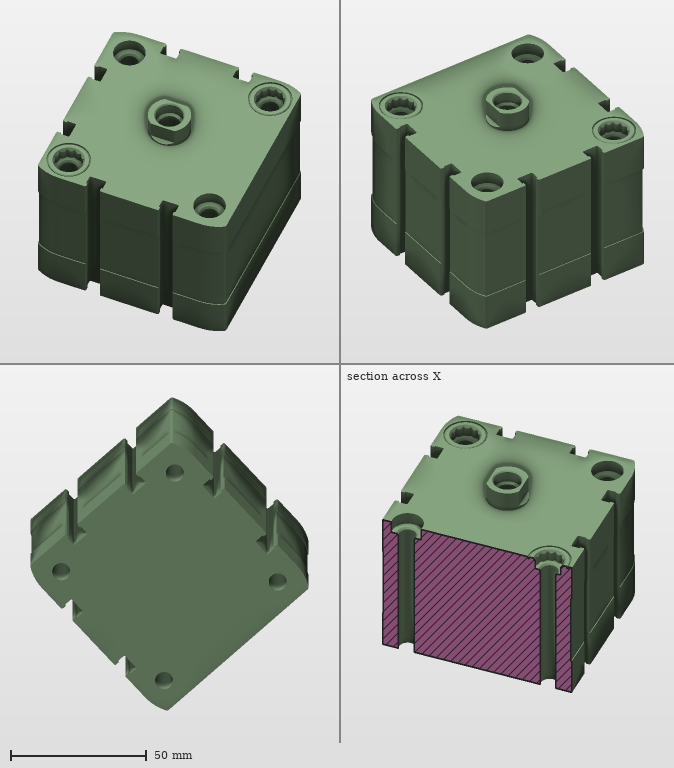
import cadquery as cq
import math

SIDE = 75.5
HOUSING_HEIGHT = 58.9
TOTAL_HEIGHT = 67.0
HALF = SIDE / 2

ARC_START = 28.4
CORNER_DROP = 2.65
CORNER_EDGE_FILLET = 1.1

CAP_HEIGHT = 14.9
BARREL_INSET = 0.3

SLOT_OFFSET = 14.6
SLOT_MOUTH_WIDTH = 5.5
SLOT_MOUTH_DEPTH = 1.65
SLOT_WIDTH = 6.65
SLOT_DEPTH = 5.2
SLOT_FLOOR_FILLET = 0.45
SLOT_LIP_FILLET = 0.3

HOLE_OFFSET = 28.2
HOLE_DIAMETER = 6.65
HOLE_CHAMFER_DIAMETER = 8.0
COUNTERBORE_DIAMETER = 12.0
COUNTERBORE_DEPTH = 4.8

SOCKET_POINTS = 12
SOCKET_TIP_DIAMETER = 11.3
SOCKET_ROOT_DIAMETER = 10.35
SOCKET_FLAT_WIDTH = 0.75
SOCKET_DEPTH = 4.7
SOCKET_CONE_DIAMETER = 12.0
SOCKET_CONE_DEPTH = 1.2
RING_OUTER_DIAMETER = 16.4
RING_INNER_DIAMETER = 15.5
RING_BEVEL_DIAMETER = 14.9
RING_DEPTH = 0.75

ROD_DIAMETER = 16.0
FLATS_WIDTH = 13.0
FLATS_HEIGHT = 6.6
FLATS_RUNOUT_ANGLE = 30.0
ROD_BOTTOM = HOUSING_HEIGHT - CAP_HEIGHT
ROD_MOUTH_DIAMETER = 11.4
ROD_COUNTERBORE_DIAMETER = 10.5
ROD_COUNTERBORE_DEPTH = 4.8
ROD_THREAD_DIAMETER = 8.4
ROD_THREAD_DEPTH = 15.1
COUNTERSINK_ANGLE = 120.0
DRILL_TIP_ANGLE = 118.0


def cylinder(diameter, bottom, top):
    return cq.Workplane("XY").workplane(offset=bottom).circle(diameter / 2).extrude(top - bottom)


def revolved(profile):
    """Turn a closed (radius, height) profile about the Z axis."""
    return cq.Workplane("XZ").polyline(profile).close().revolve(360, (0, 0), (0, 1))


def rounded_block(inset, bottom, top):
    """Block with arc corners, set in by the same amount all round."""
    half = HALF - inset
    edge = half - CORNER_DROP
    run = half - ARC_START
    radius = (run**2 + CORNER_DROP**2) / (2 * CORNER_DROP)
    mid_angle = math.asin(run / radius) / 2
    mid_x = ARC_START + radius * math.sin(mid_angle)
    mid_y = half - radius * (1 - math.cos(mid_angle))
    outline = (
        cq.Workplane("XY")
        .workplane(offset=bottom)
        .moveTo(-ARC_START, half)
        .lineTo(ARC_START, half)
        .threePointArc((mid_x, mid_y), (half, edge))
        .lineTo(half, -edge)
        .threePointArc((mid_x, -mid_y), (ARC_START, -half))
        .lineTo(-ARC_START, -half)
        .threePointArc((-mid_x, -mid_y), (-half, -edge))
        .lineTo(-half, edge)
        .threePointArc((-mid_x, mid_y), (-ARC_START, half))
        .close()
    )
    return outline.extrude(top - bottom).edges("|Z and (>X or <X)").fillet(CORNER_EDGE_FILLET)


def slot_cutter():
    """T-shaped slot with rounded lips through the full height, open in the -Y side at X = 0."""
    groove_depth = SLOT_DEPTH - SLOT_MOUTH_DEPTH
    mouth = (
        cq.Workplane("XY")
        .center(0, SLOT_MOUTH_DEPTH / 2)
        .rect(SLOT_MOUTH_WIDTH, SLOT_MOUTH_DEPTH)
        .extrude(HOUSING_HEIGHT)
    )
    groove = (
        cq.Workplane("XY")
        .center(0, SLOT_MOUTH_DEPTH + groove_depth / 2)
        .rect(SLOT_WIDTH, groove_depth)
        .extrude(HOUSING_HEIGHT)
        .edges("|Z and >Y")
        .fillet(SLOT_FLOOR_FILLET)
    )
    half_mouth = SLOT_MOUTH_WIDTH / 2
    lip = (
        cq.Workplane("XY")
        .moveTo(-half_mouth - SLOT_LIP_FILLET, 0)
        .radiusArc((-half_mouth, SLOT_LIP_FILLET), SLOT_LIP_FILLET)
        .lineTo(half_mouth, SLOT_LIP_FILLET)
        .radiusArc((half_mouth + SLOT_LIP_FILLET, 0), SLOT_LIP_FILLET)
        .close()
        .extrude(HOUSING_HEIGHT)
    )
    return mouth.union(groove).union(lip).translate((0, -HALF, 0))


def stepped_hole(depth):
    """Through hole whose 45 degree mouth starts the given depth below the top face."""
    floor = HOUSING_HEIGHT - depth
    hole_radius = HOLE_DIAMETER / 2
    mouth_radius = HOLE_CHAMFER_DIAMETER / 2
    chamfer_bottom = floor - (mouth_radius - hole_radius)
    return revolved(
        [(0, 0), (hole_radius, 0), (hole_radius, chamfer_bottom), (mouth_radius, floor), (0, floor)]
    )


def plain_hole_cutter():
    """Through hole with a chamfered mouth below a plain counterbore."""
    return stepped_hole(COUNTERBORE_DEPTH).union(
        cylinder(COUNTERBORE_DIAMETER, HOUSING_HEIGHT - COUNTERBORE_DEPTH, HOUSING_HEIGHT)
    )


def socket_cutter():
    """Twelve-point socket with a conical mouth, a ring groove round it and a through hole below."""
    points = []
    pitch = 2 * math.pi / SOCKET_POINTS
    half_flat = math.asin(SOCKET_FLAT_WIDTH / SOCKET_ROOT_DIAMETER)
    for index in range(SOCKET_POINTS):
        tip = index * pitch
        root = tip + pitch / 2
        corners = (
            (SOCKET_TIP_DIAMETER / 2, tip),
            (SOCKET_ROOT_DIAMETER / 2, root - half_flat),
            (SOCKET_ROOT_DIAMETER / 2, root + half_flat),
        )
        points += [(r * math.cos(a), r * math.sin(a)) for r, a in corners]
    floor = HOUSING_HEIGHT - SOCKET_DEPTH
    star = cq.Workplane("XY").workplane(offset=floor).polyline(points).close().extrude(SOCKET_DEPTH)
    cone = revolved(
        [
            (0, HOUSING_HEIGHT),
            (SOCKET_CONE_DIAMETER / 2, HOUSING_HEIGHT),
            (SOCKET_ROOT_DIAMETER / 2, HOUSING_HEIGHT - SOCKET_CONE_DEPTH),
            (0, HOUSING_HEIGHT - SOCKET_CONE_DEPTH),
        ]
    )
    bevel = (RING_INNER_DIAMETER - RING_BEVEL_DIAMETER) / 2
    ring = revolved(
        [
            (RING_BEVEL_DIAMETER / 2, HOUSING_HEIGHT),
            (RING_OUTER_DIAMETER / 2, HOUSING_HEIGHT),
            (RING_OUTER_DIAMETER / 2, HOUSING_HEIGHT - RING_DEPTH),
            (RING_INNER_DIAMETER / 2, HOUSING_HEIGHT - RING_DEPTH),
            (RING_INNER_DIAMETER / 2, HOUSING_HEIGHT - bevel),
        ]
    )
    return stepped_hole(SOCKET_DEPTH).union(star).union(cone).union(ring)


def make_housing():
    barrel_top = HOUSING_HEIGHT - CAP_HEIGHT
    housing = (
        rounded_block(0, 0, CAP_HEIGHT)
        .union(rounded_block(BARREL_INSET, CAP_HEIGHT, barrel_top))
        .union(rounded_block(0, barrel_top, HOUSING_HEIGHT))
    )
    for turn in (0, 180, -90):
        for offset in (-SLOT_OFFSET, SLOT_OFFSET):
            slot = slot_cutter().translate((offset, 0, 0)).rotate((0, 0, 0), (0, 0, 1), turn)
            housing = housing.cut(slot)
    for side in (-1, 1):
        housing = housing.cut(socket_cutter().translate((side * HOLE_OFFSET, side * HOLE_OFFSET, 0)))
        housing = housing.cut(plain_hole_cutter().translate((side * HOLE_OFFSET, -side * HOLE_OFFSET, 0)))
    return housing.cut(cylinder(ROD_DIAMETER, ROD_BOTTOM, HOUSING_HEIGHT))


def flat_cutter():
    """Cutter for the +Y wrench flat, running out on a slope at its lower end."""
    flats_bottom = TOTAL_HEIGHT - FLATS_HEIGHT
    near = FLATS_WIDTH / 2
    reach = ROD_DIAMETER / 2 - near
    drop = reach * math.tan(math.radians(FLATS_RUNOUT_ANGLE))
    return (
        cq.Workplane("YZ")
        .polyline(
            [
                (near, TOTAL_HEIGHT),
                (near, flats_bottom),
                (near + reach, flats_bottom - drop),
                (near + reach, TOTAL_HEIGHT),
            ]
        )
        .close()
        .extrude(ROD_DIAMETER / 2, both=True)
    )


def rod_bore_cutter():
    """Blind stepped bore with bevelled steps and a drill-point bottom."""
    mouth = ROD_MOUTH_DIAMETER / 2
    wide = ROD_COUNTERBORE_DIAMETER / 2
    narrow = ROD_THREAD_DIAMETER / 2
    step = TOTAL_HEIGHT - ROD_COUNTERBORE_DEPTH
    countersink_drop = (wide - narrow) / math.tan(math.radians(COUNTERSINK_ANGLE / 2))
    thread_bottom = TOTAL_HEIGHT - ROD_THREAD_DEPTH
    tip = thread_bottom - narrow / math.tan(math.radians(DRILL_TIP_ANGLE / 2))
    return revolved(
        [
            (0, TOTAL_HEIGHT),
            (mouth, TOTAL_HEIGHT),
            (wide, TOTAL_HEIGHT - (mouth - wide)),
            (wide, step),
            (narrow, step - countersink_drop),
            (narrow, thread_bottom),
            (0, tip),
        ]
    )


def make_rod():
    rod = cylinder(ROD_DIAMETER, ROD_BOTTOM, TOTAL_HEIGHT)
    for turn in (0, 180):
        rod = rod.cut(flat_cutter().rotate((0, 0, 0), (0, 0, 1), turn))
    return rod.cut(rod_bore_cutter())


housing = make_housing()
rod = make_rod()
result = cq.Compound.makeCompound([housing.val(), rod.val()])